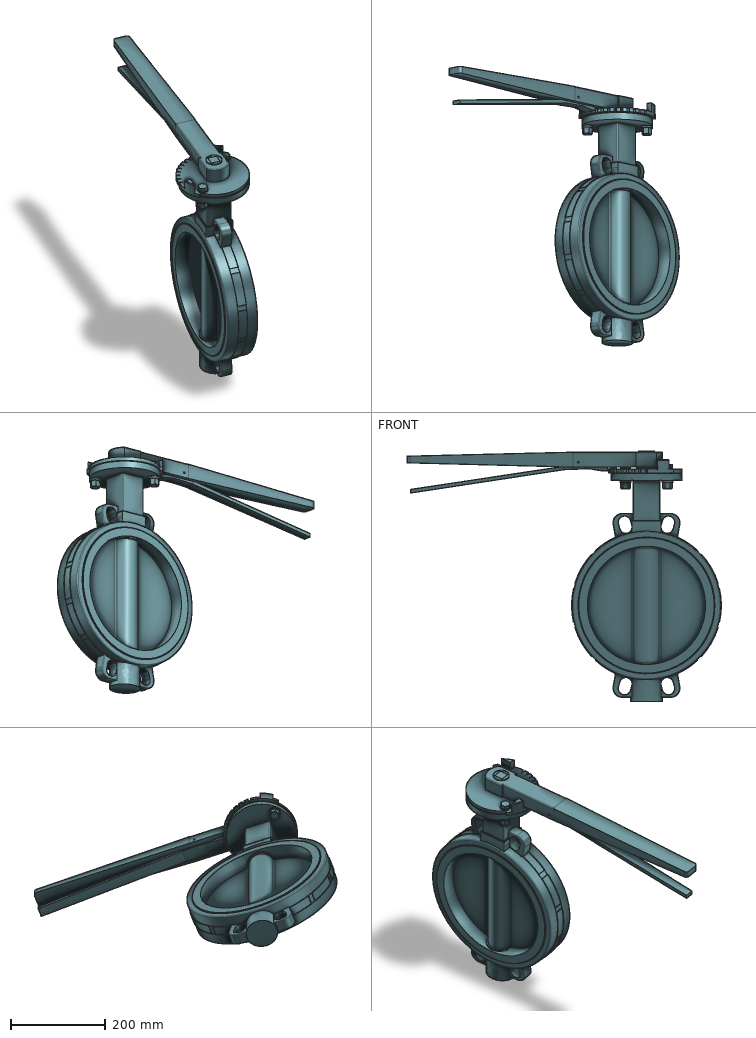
import math

import cadquery as cq


body_diameter = 315.0
body_width = 69.0
body_edge_radius = 2.0
rib_diameter = 318.0
rib_width = 20.0
notch_angles = (15.0, 45.0, 135.0, 165.0, 195.0, 225.0, 315.0, 345.0)
notch_span = 4.2
liner_diameter = 290.0
liner_face_diameter = 287.0
liner_width = 73.0
bore_diameter = 250.5

disc_thickness = 8.0
seat_overlap = 0.5
barrel_diameter = 56.0
barrel_blend_radius = 5.0
seat_diameter = 64.0
seat_z = 122.0

neck_side = 56.5
neck_edge_radius = 2.0
foot_side = 62.0
foot_chamfer = 1.2
foot_top = 180.0
boss_width = 67.0
boss_depth = 61.0
bottom_z = -204.0
overall_height = 531.0
top_z = bottom_z + overall_height

lug_thickness = 24.0
lug_top = 195.0
lug_top_half_width = 75.0
lug_root_half_width = 65.0
lug_root_z = 140.0
lug_corner_radius = 20.0
lug_edge_radius = 1.5
slot_width = 26.0
slot_angle = 14.8
slot_radius = 177.0
slot_spacing = 10.6

flange_diameter = 150.0
flange_bottom = 265.0
flange_top = 281.0
flange_chamfer = 1.5
plate_top = 289.0
sector_radius = 80.9
sector_start = 135.0
sector_end = 315.0
tooth_pitch = 10.0
tooth_gap_count = 10
tooth_root_radius = 72.0
tooth_gap_half_width = 3.0
tooth_gap_overrun = 1.0
stop_top = 309.0
stop_rim_chamfer = 2.0
stop_near = 64.0
stop_side_start = 23.5
stop_side_end = 48.0
bolt_offset = 44.5
bolt_across_flats = 18.0
bolt_across_corners = bolt_across_flats / math.cos(math.pi / 6)
bolt_head_height = 8.0
nut_height = 14.0
nut_edge_chamfer = 2.0
washer_diameter = 22.0
washer_thickness = 2.0
nut_washer_diameter = 24.0
nut_washer_thickness = 4.0

handle_bottom = 293.0
handle_top = 325.0
handle_half_width = 22.5
handle_edge_radius = 2.0
blade_start = -155.5
handle_tip = -507.6
tip_half_width = 18.0
tip_bottom = 302.0
tip_top = 316.5
tip_corner_radius = 7.0
head_half_width = 26.2
head_radius = 34.0
head_start = -22.0
hub_diameter = 42.0
cap_diameter = 34.0
square_side = 20.0
square_recess = 0.2
pin_diameter = 3.5
pin_x = -144.5
pin_z = 303.5
pin_projection = 0.3

lever_tip = -500.0
lever_tip_half_width = 9.5
lever_root_half_width = 12.7
lever_tip_bottom = 238.0
lever_tip_top = 246.0
lever_bend_x = -175.0
lever_bend_bottom = 287.5
lever_flat_end_x = -122.0
lever_flat_bottom = 289.5
lever_heel_x = -95.0
lever_heel_bottom = 285.0
lever_end_x = -82.0
lever_overlap = 2.0


def y_cylinder(diameter, width):
    """Cylinder along the pipe axis, centred on the origin."""
    return cq.Workplane("XZ").circle(diameter / 2).extrude(width / 2, both=True)


def block(x0, x1, y0, y1, z0, z1):
    """Box given by its limits along X, Y and Z."""
    return cq.Workplane("XY").box(x1 - x0, y1 - y0, z1 - z0, centered=False).translate((x0, y0, z0))


def z_cylinder(diameter, z0, z1, x=0.0, y=0.0):
    """Upright cylinder between two heights."""
    return cq.Workplane("XY", origin=(x, y, z0)).circle(diameter / 2).extrude(z1 - z0)


def make_ring():
    """Body ring with its notched middle rib and the chamfered liner lips."""
    rib = y_cylinder(rib_diameter, rib_width)
    for angle in notch_angles:
        notch_width = rib_diameter * math.sin(math.radians(notch_span / 2))
        notch = cq.Workplane("XY").box(rib_diameter, rib_width, notch_width)
        notch = notch.translate((rib_diameter / 2 + body_diameter / 2, 0, 0))
        rib = rib.cut(notch.rotate((0, 0, 0), (0, 1, 0), angle))
    body = y_cylinder(body_diameter, body_width).edges().fillet(body_edge_radius)
    lip_chamfer = (liner_diameter - liner_face_diameter) / 2
    liner = y_cylinder(liner_diameter, liner_width).edges().chamfer(lip_chamfer)
    return body.union(rib).union(liner)


def make_lugs():
    """Top and bottom pairs of solid lugs, without their slots."""
    upper = (
        cq.Workplane("XZ")
        .moveTo(-lug_root_half_width, lug_root_z)
        .lineTo(-lug_top_half_width, lug_top)
        .lineTo(lug_top_half_width, lug_top)
        .lineTo(lug_root_half_width, lug_root_z)
        .close()
        .extrude(lug_thickness / 2, both=True)
    )
    upper = upper.edges("|Y and >Z").fillet(lug_corner_radius)
    upper = upper.faces("<Y or >Y").edges("not <Z").fillet(lug_edge_radius)
    return upper.union(upper.mirror("XY"))


def make_lug_slots():
    """The four radial slots that cut through the lugs."""
    slots = cq.Workplane("XY")
    for angle in (slot_angle, -slot_angle, 180 - slot_angle, 180 + slot_angle):
        slot = (
            cq.Workplane("XZ")
            .center(0, slot_radius)
            .slot2D(slot_width + slot_spacing, slot_width, 90)
            .extrude(body_width, both=True)
        )
        slots = slots.add(slot.rotate((0, 0, 0), (0, 1, 0), angle))
    return slots.combine()


def make_neck():
    """Square neck under the flange, on a slightly wider foot."""
    foot = block(-foot_side / 2, foot_side / 2, -foot_side / 2, foot_side / 2, 0, foot_top)
    foot = foot.faces(">Z").chamfer(foot_chamfer)
    neck = block(-neck_side / 2, neck_side / 2, -neck_side / 2, neck_side / 2, 0, flange_bottom)
    return foot.union(neck.edges("|Z").fillet(neck_edge_radius))


def make_bottom_boss():
    """Slightly oval boss at the bottom, around the lower shaft bearing."""
    base = cq.Workplane("XY", origin=(0, 0, bottom_z))
    return base.ellipse(boss_width / 2, boss_depth / 2).extrude(-bottom_z)


def make_disc():
    """Closed disc with a round barrel along the shaft, blended into its faces."""
    rim_diameter = bore_diameter + 2 * seat_overlap
    plate = cq.Workplane("XY").box(rim_diameter, disc_thickness, rim_diameter)
    barrel = z_cylinder(barrel_diameter, -rim_diameter / 2, rim_diameter / 2)
    near_barrel = cq.selectors.BoxSelector(
        (-barrel_diameter, -disc_thickness, -disc_thickness),
        (barrel_diameter, disc_thickness, disc_thickness),
    )
    blended = plate.union(barrel).edges("|Z").edges(near_barrel).fillet(barrel_blend_radius)
    return blended.intersect(y_cylinder(rim_diameter, body_width))


def make_shaft_seats():
    """Flat round seats in the liner at both ends of the barrel."""
    upper = z_cylinder(seat_diameter, seat_z, liner_diameter / 2)
    return upper.union(upper.mirror("XY"))


def make_notched_plate():
    """Plate with a larger, notched half and two upright stops at its ends."""
    plate = z_cylinder(flange_diameter, flange_top, plate_top)
    start = math.radians(sector_start)
    end = math.radians(sector_end)
    middle = (start + end) / 2
    sector_tip = (sector_radius * math.cos(end), sector_radius * math.sin(end))
    sector = (
        cq.Workplane("XY", origin=(0, 0, flange_top))
        .moveTo(sector_radius * math.cos(start), sector_radius * math.sin(start))
        .threePointArc((sector_radius * math.cos(middle), sector_radius * math.sin(middle)), sector_tip)
        .close()
        .extrude(plate_top - flange_top)
    )
    plate = plate.union(sector)
    rim = sector_radius + tooth_gap_overrun
    gap = (
        cq.Workplane("XY", origin=(0, 0, flange_top))
        .polyline([(0, -tooth_root_radius), (-tooth_gap_half_width, -rim), (tooth_gap_half_width, -rim)])
        .close()
        .extrude(plate_top - flange_top)
    )
    for index in range(tooth_gap_count):
        plate = plate.cut(gap.rotate((0, 0, 0), (0, 0, 1), -index * tooth_pitch))
    rim_cylinder = z_cylinder(2 * sector_radius, flange_top, stop_top)
    rim_cylinder = rim_cylinder.faces(">Z").chamfer(stop_rim_chamfer)
    front_stop = block(
        stop_side_start, stop_side_end, -sector_radius, -stop_near, flange_top, stop_top
    )
    left_stop = block(
        -sector_radius, -stop_near, stop_side_start, stop_side_end, flange_top, stop_top
    )
    return plate.union(front_stop.union(left_stop).intersect(rim_cylinder))


def hexagon(z0, z1, x, y):
    """Hexagonal prism with its flats facing front and back."""
    return cq.Workplane("XY", origin=(x, y, z0)).polygon(6, bolt_across_corners).extrude(z1 - z0)


def make_fixing(x, y):
    """Bolt head and nut with washers, above and below the flange."""
    head_base = plate_top + washer_thickness
    nut_top = flange_bottom - nut_washer_thickness
    nut_bottom = nut_top - nut_height
    head = hexagon(head_base, head_base + bolt_head_height, x, y)
    nut_envelope = z_cylinder(bolt_across_corners, nut_bottom, nut_top, x, y)
    nut = hexagon(nut_bottom, nut_top, x, y)
    nut = nut.intersect(nut_envelope.faces("<Z").chamfer(nut_edge_chamfer))
    upper_washer = z_cylinder(washer_diameter, flange_bottom, head_base, x, y)
    lower_washer = z_cylinder(nut_washer_diameter, nut_top, flange_bottom, x, y)
    return head.union(nut).union(upper_washer).union(lower_washer)


def make_handle():
    """Handle head over the shaft, straight shank and tapering blade."""
    height = handle_top - handle_bottom
    shank = block(blade_start, 0, -handle_half_width, handle_half_width, handle_bottom, handle_top)
    head_limits = (-head_half_width, head_half_width, handle_bottom, handle_top)
    nose = z_cylinder(2 * head_radius, handle_bottom, handle_top)
    nose = nose.intersect(block(0, head_radius, *head_limits))
    head = block(head_start, 0, *head_limits).union(nose)
    grip = shank.union(head).faces(">Z").edges("not <X").fillet(handle_edge_radius)
    blade = (
        cq.Workplane("YZ", origin=(blade_start, 0, handle_bottom + height / 2))
        .rect(2 * handle_half_width, height)
        .workplane(offset=handle_tip - blade_start)
        .center(0, (tip_bottom + tip_top - handle_bottom - handle_top) / 2)
        .rect(2 * tip_half_width, tip_top - tip_bottom)
        .loft()
    )
    blade = blade.faces("<X").edges("|Z").fillet(tip_corner_radius)
    hub = z_cylinder(hub_diameter, plate_top, handle_bottom)
    cap = z_cylinder(cap_diameter, handle_top, top_z)
    recess = cq.Workplane("XY", origin=(0, 0, top_z)).rect(square_side, square_side)
    pin = (
        cq.Workplane("XZ", origin=(pin_x, 0, pin_z))
        .circle(pin_diameter / 2)
        .extrude(handle_half_width + pin_projection, both=True)
    )
    handle = grip.union(blade).union(hub).union(cap).union(pin)
    return handle.cut(recess.extrude(-square_recess))


def make_lever():
    """Bent latch lever, tapering in width towards its tip."""
    profile = [
        (lever_tip, lever_tip_bottom),
        (lever_bend_x, lever_bend_bottom),
        (lever_flat_end_x, lever_flat_bottom),
        (lever_heel_x, lever_heel_bottom),
        (lever_end_x, lever_heel_bottom),
        (lever_end_x, handle_bottom),
        (lever_bend_x, handle_bottom + lever_overlap),
        (lever_tip, lever_tip_top),
    ]
    plan = [
        (lever_tip, -lever_tip_half_width),
        (lever_bend_x, -lever_root_half_width),
        (lever_end_x, -lever_root_half_width),
        (lever_end_x, lever_root_half_width),
        (lever_bend_x, lever_root_half_width),
        (lever_tip, lever_tip_half_width),
    ]
    side = cq.Workplane("XZ").polyline(profile).close().extrude(lever_root_half_width, both=True)
    return side.intersect(cq.Workplane("XY").polyline(plan).close().extrude(top_z))


housing = make_ring().union(make_lugs()).union(make_neck()).union(make_bottom_boss())
housing = housing.cut(make_lug_slots()).cut(y_cylinder(bore_diameter, 2 * liner_width))
flange = z_cylinder(flange_diameter, flange_bottom, flange_top).faces(">Z").chamfer(flange_chamfer)
valve = housing.union(make_shaft_seats()).union(make_disc()).union(flange).union(make_notched_plate())
for side in (-1, 1):
    valve = valve.union(make_fixing(side * bolt_offset, -side * bolt_offset))
result = valve.union(make_handle()).union(make_lever())